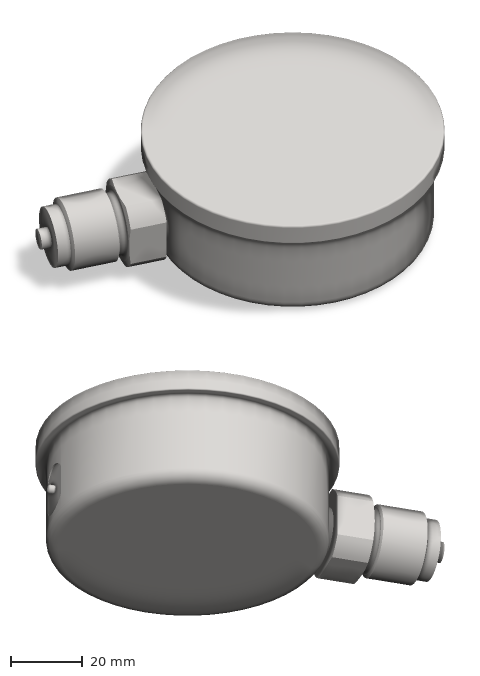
import cadquery as cq

total_height = 33.3
bezel_diameter = 84.8
bezel_height = 6.3
bezel_edge_fillet = 0.6
bezel_lower_fillet = 0.4
case_diameter = 79.0
case_back_fillet = 3.2
rim_joint_fillet = 0.6

stem_height = 12.1
stem_tip = 116.8 - bezel_diameter / 2
neck_diameter = 15.0
neck_fillet = 0.6
flats_start = 40.4
flats_end = 51.4
flats_width = 22.0
flats_corner_diameter = 25.2
flats_end_diameter = 21.7
flats_end_taper = 0.5
groove_diameter = 18.0
groove_fillet = 0.6
thread_start = 54.1
thread_start_taper = 0.5
thread_end = 67.7
thread_diameter = 20.9
thread_end_taper = 0.7
spigot_diameter = 17.5
spigot_end = 71.5
pin_diameter = 6.0

plug_diameter = 15.0
plug_face = 39.0
nub_diameter = 2.5
nub_end = 41.0
nub_fillet = 0.7


def rod(diameter, start, end):
    """Cylinder on the stem axis between two distances towards -Y."""
    plane = cq.Plane(origin=(0, -start, stem_height), xDir=(1, 0, 0), normal=(0, -1, 0))
    return cq.Workplane(plane).circle(diameter / 2).extrude(end - start)


def stem_section():
    """Lengthwise plane through the stem axis, with local X as radius."""
    return cq.Workplane("XY", origin=(0, 0, stem_height))


def make_case():
    rim_bottom = total_height - bezel_height
    body = cq.Workplane("XY").circle(case_diameter / 2).extrude(rim_bottom)
    body = body.faces("<Z").edges().fillet(case_back_fillet)
    bezel = cq.Workplane("XY").workplane(offset=rim_bottom)
    bezel = bezel.circle(bezel_diameter / 2).extrude(bezel_height)
    bezel = bezel.faces(">Z").edges().fillet(bezel_edge_fillet)
    bezel = bezel.faces("<Z").edges().fillet(bezel_lower_fillet)
    case = body.union(bezel)
    underside = case.faces(cq.selectors.NearestToPointSelector((0, 0, rim_bottom)))
    return underside.edges(cq.selectors.RadiusNthSelector(0)).fillet(rim_joint_fillet)


def make_wrench_flats():
    """Square block with its corners turned round and tapered at the outer end."""
    length = flats_end - flats_start
    block = cq.Workplane("XY").box(flats_width, length, flats_width)
    block = block.translate((0, -(flats_start + flats_end) / 2, stem_height))
    corner_radius = flats_corner_diameter / 2
    envelope = (
        stem_section()
        .moveTo(0, -flats_start)
        .lineTo(corner_radius, -flats_start)
        .lineTo(corner_radius, -flats_end + flats_end_taper)
        .lineTo(flats_end_diameter / 2, -flats_end)
        .lineTo(0, -flats_end)
        .close()
        .revolve(360, (0, 0, 0), (0, 1, 0))
    )
    return block.intersect(envelope)


def make_thread_profile():
    """Turned groove, threaded length and spigot, revolved about the stem axis."""
    groove_radius = groove_diameter / 2
    thread_radius = thread_diameter / 2
    return (
        stem_section()
        .moveTo(0, -flats_end)
        .lineTo(groove_radius + groove_fillet, -flats_end)
        .radiusArc((groove_radius, -flats_end - groove_fillet), -groove_fillet)
        .lineTo(groove_radius, -thread_start + thread_start_taper + groove_fillet)
        .radiusArc((groove_radius + groove_fillet, -thread_start + thread_start_taper), -groove_fillet)
        .lineTo(thread_radius, -thread_start)
        .lineTo(thread_radius, -thread_end + thread_end_taper)
        .lineTo(spigot_diameter / 2, -thread_end)
        .lineTo(spigot_diameter / 2, -spigot_end)
        .lineTo(0, -spigot_end)
        .close()
        .revolve(360, (0, 0, 0), (0, 1, 0))
    )


def add_neck(case):
    """Join the neck to the case wall with a fillet around its root."""
    case = case.union(rod(neck_diameter, 0, flats_start))
    neck_wall = case.faces("<Y").edges().ancestors("Face").faces("not |Y")
    return neck_wall.edges(">Y").fillet(neck_fillet)


def make_stem():
    stem = make_wrench_flats()
    stem = stem.union(make_thread_profile())
    return stem.union(rod(pin_diameter, spigot_end, stem_tip))


def add_relief_plug(case):
    """Sink a flat plug face into the +Y side and add its central nub."""
    case = case.cut(rod(plug_diameter, -case_diameter / 2, -plug_face))
    nub = rod(nub_diameter, -nub_end, 0)
    nub = nub.faces(">Y").edges().fillet(nub_fillet)
    return case.union(nub)


result = add_relief_plug(add_neck(make_case())).union(make_stem())